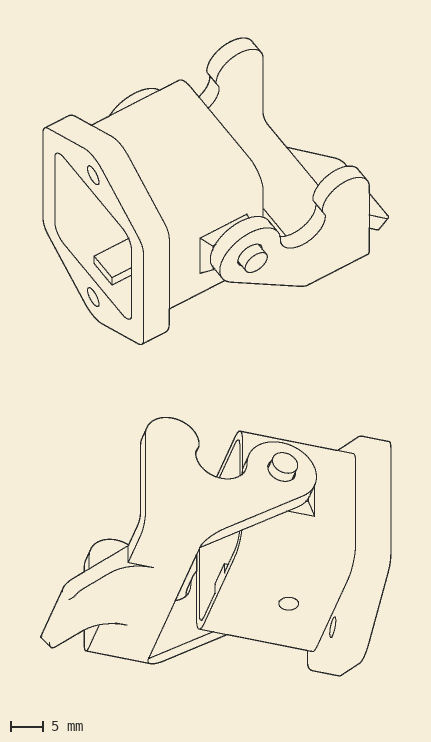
import cadquery as cq
import math


flange_width = 28.0
flange_thickness = 5.0
flange_side_corner_height = 12.3
flange_slope = 30.0
flange_side_radius = 3.0
flange_tip_radius = 4.95
flange_edge_radius = 0.75
screw_hole_diameter = 3.2
screw_hole_offset = 15.0

sleeve_size = 24.1
sleeve_end = 23.0
opening_size = 21.3
sleeve_radius = 3.95
opening_radius = sleeve_radius - (sleeve_size - opening_size) / 2

rib_width = 4.95
rib_height = 1.85
rib_start = 1.8
rib_hole_diameter = 3.0
rib_hole_y = 12.0

pivot_y = 18.0
pin_diameter = 4.0
pin_span = 35.6
boss_front = 11.5
boss_rear = 20.05
boss_height = 8.7

lever_width = 32.2
cheek_thickness = 2.65
channel_width = lever_width - 2 * cheek_thickness
lever_rear = 39.65
lever_bottom = -16.5
base_thickness = 3.4
base_top = lever_bottom + base_thickness
base_front = 30.2
base_outer_radius = 2.55
base_inner_radius = 1.45
pivot_radius = 5.5
pivot_hole_diameter = 4.4
notch_radius = 4.05
notch_y = pivot_y + pivot_radius + notch_radius
hook_radius = 4.25
hook_y = lever_rear - hook_radius
hook_z = 1.85
neck_top = 1.55
neck_bottom = 0.4

tab_width = 13.95
tab_slope = 45.0
tab_length = 14.45
tab_thickness = 2.35
tab_blend_radius = 9.95
tab_corner_radius = 2.0
tab_edge_radius = 0.5

tab_end_face = cq.selectors.DirectionMinMaxSelector(cq.Vector(0, 1, -1))

boss_rise = (channel_width - sleeve_size) / 2


def prism_along_y(sketch, start, end):
    """Extrude a closed XZ outline from Y = start to Y = end."""
    return sketch(cq.Workplane("XZ", origin=(0, start, 0))).extrude(start - end)


def centred_block(width, length, height, front, bottom):
    """Block centred on X, reaching back from Y = front and up from Z = bottom."""
    block = cq.Workplane("XY").box(width, length, height, centered=(True, False, False))
    return block.translate((0, front, bottom))


def rounded_square(size, radius, start, end):
    bar = prism_along_y(lambda plane: plane.rect(size, size), start, end)
    return bar.edges("|Y").fillet(radius)


def make_flange():
    half_width = flange_width / 2
    side = flange_side_corner_height
    tip = side + half_width * math.tan(math.radians(flange_slope))
    corners = [(half_width, -side), (half_width, side), (0, tip),
               (-half_width, side), (-half_width, -side), (0, -tip)]
    flange = prism_along_y(lambda plane: plane.polyline(corners).close(), 0, flange_thickness)
    flange = flange.edges("|Y and (<X or >X)").fillet(flange_side_radius)
    for end in (">Z", "<Z"):
        flange = flange.edges("|Y").edges(end).fillet(flange_tip_radius)
    return flange.faces(">Y").edges().fillet(flange_edge_radius)


def make_screw_holes():
    centres = [(0, screw_hole_offset), (0, -screw_hole_offset)]
    return prism_along_y(
        lambda plane: plane.pushPoints(centres).circle(screw_hole_diameter / 2), 0, flange_thickness
    )


def make_boss():
    """Boss on the +X wall: 45 degree slopes in front, above and below, upright at the rear."""
    boss_length = boss_rear - boss_front
    top_length = boss_length - boss_rise
    base_centre = (boss_front + boss_rear) / 2
    boss = (
        cq.Workplane("YZ", origin=(sleeve_size / 2, base_centre, 0))
        .rect(boss_length, boss_height)
        .workplane(offset=boss_rise)
        .center(boss_rise / 2, 0)
        .rect(top_length, boss_height - 2 * boss_rise)
        .loft(ruled=True)
    )
    pin_length = (pin_span - sleeve_size) / 2
    pin = (
        cq.Workplane("YZ", origin=(sleeve_size / 2, pivot_y, 0))
        .circle(pin_diameter / 2)
        .extrude(pin_length)
    )
    return boss.union(pin)


def make_rib():
    floor = -opening_size / 2
    length = sleeve_end - rib_start
    return centred_block(rib_width, length, rib_height, rib_start, floor)


def make_rib_hole():
    depth = rib_height + (sleeve_size - opening_size) / 2
    return (
        cq.Workplane("XY", origin=(0, rib_hole_y, -sleeve_size / 2))
        .circle(rib_hole_diameter / 2)
        .extrude(depth)
    )


def make_housing():
    sleeve = rounded_square(sleeve_size, sleeve_radius, 0, sleeve_end)
    opening = rounded_square(opening_size, opening_radius, 0, sleeve_end)
    boss = make_boss()
    body = make_flange().union(sleeve).union(boss).union(boss.mirror("YZ"))
    body = body.cut(opening).cut(make_screw_holes())
    return body.union(make_rib()).cut(make_rib_hole())


def circle_point(y, z, radius, degrees):
    """Point on a YZ circle, with the angle measured from +Y toward +Z."""
    angle = math.radians(degrees)
    return (y + radius * math.cos(angle), z + radius * math.sin(angle))


def make_lever_profile():
    """Side outline of the lever in YZ, extruded over its full width."""
    run = base_front - pivot_y
    line_angle = math.degrees(math.atan2(lever_bottom, run))
    touch_angle = line_angle - math.degrees(math.acos(pivot_radius / math.hypot(run, lever_bottom)))
    touch_point = circle_point(pivot_y, 0, pivot_radius, touch_angle)

    hook_drop = hook_z - neck_top
    hook_end = (hook_y - math.sqrt(hook_radius**2 - hook_drop**2), neck_top)
    notch_start = (notch_y + math.sqrt(notch_radius**2 - neck_bottom**2), neck_bottom)

    return (
        cq.Workplane("YZ", origin=(-lever_width / 2, 0, 0))
        .moveTo(base_front, lever_bottom)
        .lineTo(lever_rear, lever_bottom)
        .lineTo(lever_rear, hook_z)
        .threePointArc((hook_y, hook_z + hook_radius), hook_end)
        .lineTo(*notch_start)
        .threePointArc((notch_y, -notch_radius), (notch_y - notch_radius, 0))
        .threePointArc((pivot_y, pivot_radius), touch_point)
        .close()
        .extrude(lever_width)
    )


def make_lever_blank():
    """Side outline with the two lower outer edges rounded along Y."""
    top = hook_z + hook_radius
    front = pivot_y - pivot_radius
    envelope = centred_block(lever_width, lever_rear - front, top - lever_bottom, front, lever_bottom)
    envelope = envelope.edges("|Y and <Z").fillet(base_outer_radius)
    return make_lever_profile().intersect(envelope)


def make_channel():
    """Space between the cheeks: above the base, and full height in front of it."""
    front = pivot_y - pivot_radius
    height = hook_z + hook_radius - base_top
    above_base = centred_block(channel_width, lever_rear - front, height, front, base_top)
    above_base = above_base.edges("|Y and <Z").fillet(base_inner_radius)
    before_base = centred_block(
        channel_width, base_front - front, height + base_thickness, front, lever_bottom
    )
    return above_base.union(before_base)


def make_tab():
    """Thumb tab sloping down from the rear upper edge of the base."""
    step = math.cos(math.radians(tab_slope))
    upper_end = (lever_rear + tab_length * step, base_top - tab_length * step)
    lower_end = (upper_end[0] - tab_thickness * step, upper_end[1] - tab_thickness * step)
    corner_y = lever_rear + base_thickness - tab_thickness / step
    blend_reach = tab_blend_radius * math.tan(math.radians(tab_slope / 2))
    blend_end = (corner_y + blend_reach * step, lever_bottom - blend_reach * step)
    blend_start = (corner_y - blend_reach, lever_bottom)
    blend_middle = circle_point(
        blend_start[0], lever_bottom - tab_blend_radius, tab_blend_radius, 90 - tab_slope / 2
    )
    tab = (
        cq.Workplane("YZ", origin=(-tab_width / 2, 0, 0))
        .moveTo(lever_rear, base_top)
        .lineTo(*upper_end)
        .lineTo(*lower_end)
        .lineTo(*blend_end)
        .threePointArc(blend_middle, blend_start)
        .lineTo(blend_start[0], base_top)
        .close()
        .extrude(tab_width)
    )
    tab = tab.faces(tab_end_face).edges("|X").fillet(tab_edge_radius)
    return tab.intersect(make_tab_plan(upper_end))


def make_tab_plan(upper_end):
    """Plate along the tab, thick enough to hold it, with the two free corners rounded."""
    length = 2 * tab_length
    plane = cq.Plane(origin=(0, *upper_end), xDir=(1, 0, 0), normal=(0, 1, 1))
    plate = (
        cq.Workplane(plane)
        .center(0, -length / 2)
        .rect(tab_width, length)
        .extrude(tab_length, both=True)
    )
    return plate.faces(tab_end_face).edges("not |X").fillet(tab_corner_radius)


def make_pivot_holes():
    return (
        cq.Workplane("YZ", origin=(-lever_width / 2, pivot_y, 0))
        .circle(pivot_hole_diameter / 2)
        .extrude(lever_width)
    )


def make_lever():
    return make_lever_blank().cut(make_channel()).cut(make_pivot_holes()).union(make_tab())


housing = make_housing()
lever = make_lever()

result = cq.Compound.makeCompound([housing.val(), lever.val()])